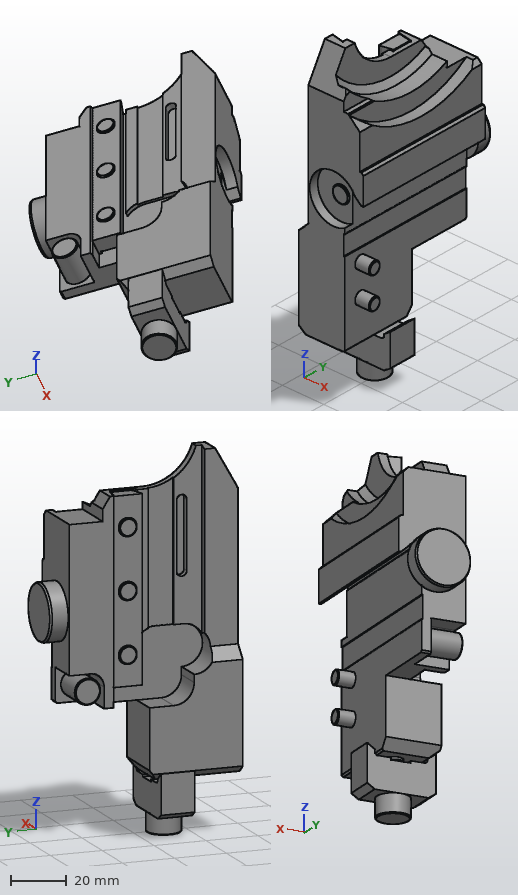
import cadquery as cq
import math

body_depth = 65.0
body_top = 142.3
plate_x = 4.7
back_x = 22.3
relief_x = 21.9
flange_x = 29.7
lip_x = 31.5
lip_bevel = 1.0
block_bottom = 22.3
block_shoulder = 64.5
block_nick = 0.7
block_corner_y, block_corner_z = 32.6, 26.6
seat_top = 25.0
seat_inset = 3.4
relief_bottom, relief_top = 62.3, 71.6
block_width = 36.0
wing_bottom = 49.8
ledge_z = 122.5
ledge_end_x = 24.0
flange_top = 117.1
lip_bottom, lip_top = 86.7, 100.6
undercut_x, undercut_z = 23.0, 93.2
undercut_relief = 1.4
undercut_crown = (22.2, 93.0)
step_y, step_z = 52.2, 119.1
step_bevel_y, step_bevel_z = 2.8, 4.4
nose_y, nose_z = 8.8, 126.8

saddle_y = 33.2
saddle_z = 159.1
horn_radius = 39.1
saddle_radius = 41.8
flange_radius = 49.7
horn_x = 14.7
cone_end_x = 17.2
shoulder_z = 128.0
notch_radius = 20.2
notch_rise = body_top - shoulder_z
notch_half_width = math.sqrt(notch_radius**2 - (notch_radius - notch_rise) ** 2)
saddle_end_x = 24.5
horn_flat_point = (20.9, 2.3, 130.8)
horn_flat_normal = (1, -0.2, 0.6)
horn_flat_edge = (0, 3, 1)
horn_flat_size = 4.3
horn_flat_clearance = 1.4

groove_y = 13.0
groove_floor_x = 10.8
groove_undercut = 1.3
relief_y_min, relief_y_max = 22.5, 32.3
relief_floor_x = 11.5
rail_floor_x = 12.5
rail_floor_y = 36.5
slot_width, slot_y = 4.0, 19.4
slot_bottom, slot_top = 94.5, 124.6
slot_depth = 2.8

rail_outer_x, rail_inner_x = 5.5, 11.7
rail_bottom, rail_top = 57.0, 127.8
rail_y_min = 36.7
wall_edge_y = 48.0
wall_bend_x, wall_bend_y = 6.0, 47.5
wall_slope = 0.17
rail_bend_x = 6.5
rail_inner_y = 38.0
screw_y, screw_z, screw_pitch = 42.3, 92.3, 23.6
screw_head, screw_shaft = 7.0, 4.0
screw_face_x = 4.8
edge_break = 0.4

pocket_radius = 8.1
pocket_y, pocket_z = 18.8, 68.7
pocket_far_y = 29.6
pocket_neck_y = 18.8
neck_radius = 7.8

shaft_x, shaft_z = 17.0, 84.4
knob_diameter, knob_length = 22.0, 7.0
knob_bevel = 0.9
shaft_diameter = 8.0
front_pocket_diameter, front_pocket_depth = 23.0, 4.3
shaft_end_y = 3.5

corner_y, corner_z = 51.7, 63.2
corner_radius = 5.3
corner_floor_x = 18.5
corner_screw_y, corner_screw_z = 57.9, 56.6
corner_screw_diameter = 10.0
corner_screw_face_x = 4.7

pin_diameter = 6.0
pin_end_x = 29.3
pin_y = 8.5
pin_heights = (41.5, 56.5)

jaw_y, jaw_width = 25.0, 13.0
jaw_length = 27.6
jaw_bottom, jaw_seat = 7.7, 20.6
jaw_tip = 24.9
jaw_bevel_x, jaw_bevel_z = 3.0, 2.0
jaw_lip = 3.1
jaw_lip_drop = 2.1
jaw_root = 1.1
clamp_x = 14.1
clamp_head, clamp_shaft, clamp_collar = 13.0, 7.7, 8.0
collar_bottom, collar_top = 19.8, 21.3

over = 14.2
embed = 1.4


def box(x0, x1, y0, y1, z0, z1):
    return cq.Workplane("XY").box(x1 - x0, y1 - y0, z1 - z0, centered=False).translate((x0, y0, z0))


def cylinder_x(diameter, x0, x1, y, z):
    return cq.Workplane("YZ", origin=(x0, y, z)).circle(diameter / 2).extrude(x1 - x0)


def cylinder_y(diameter, y0, y1, x, z):
    return cq.Workplane("XZ", origin=(x, y0, z)).circle(diameter / 2).extrude(y0 - y1)


def cylinder_z(diameter, z0, z1, x, y):
    return cq.Workplane("XY", origin=(x, y, z0)).circle(diameter / 2).extrude(z1 - z0)


def body_blank():
    """Intersection of the XZ profile with the YZ outline."""
    profile = (
        cq.Workplane("XZ")
        .moveTo(seat_inset, block_bottom)
        .lineTo(back_x - block_nick, block_bottom)
        .lineTo(back_x, block_bottom + block_nick)
        .lineTo(back_x, relief_bottom)
        .lineTo(relief_x, relief_bottom)
        .lineTo(relief_x, relief_top)
        .lineTo(back_x, relief_top)
        .lineTo(back_x, undercut_z - undercut_relief)
        .lineTo(relief_x, undercut_z - undercut_relief)
        .threePointArc(undercut_crown, (undercut_x, undercut_z))
        .lineTo(lip_x - lip_bevel, lip_bottom)
        .lineTo(lip_x, lip_bottom)
        .lineTo(lip_x, lip_top - lip_bevel)
        .lineTo(lip_x - lip_bevel, lip_top)
        .lineTo(flange_x, lip_top)
        .lineTo(flange_x, flange_top)
        .lineTo(ledge_end_x, ledge_z)
        .lineTo(relief_x, ledge_z)
        .lineTo(relief_x, body_top)
        .lineTo(plate_x, body_top)
        .lineTo(plate_x, block_shoulder + plate_x)
        .lineTo(0, block_shoulder)
        .lineTo(0, seat_top)
        .close()
        .extrude(-body_depth)
    )
    outline = (
        cq.Workplane("YZ")
        .moveTo(0, block_bottom)
        .lineTo(block_corner_y, block_bottom)
        .lineTo(block_width, block_corner_z)
        .lineTo(block_width, wing_bottom)
        .lineTo(body_depth - block_nick, wing_bottom)
        .lineTo(body_depth, wing_bottom + block_nick)
        .lineTo(body_depth, step_z)
        .lineTo(step_y, step_z)
        .lineTo(step_y, shoulder_z - step_bevel_z)
        .lineTo(step_y - step_bevel_y, shoulder_z)
        .lineTo(saddle_y, shoulder_z)
        .threePointArc(
            (saddle_y - notch_radius * math.sin(math.pi / 4),
             shoulder_z + notch_radius * (1 - math.cos(math.pi / 4))),
            (saddle_y - notch_half_width, body_top),
        )
        .lineTo(nose_y, body_top)
        .lineTo(0, nose_z)
        .close()
        .extrude(lip_x)
    )
    blank = profile.intersect(outline)
    return blank.cut(box(-over, plate_x, block_width, body_depth, 0, body_top))


def saddle_cut():
    """Stepped round cut that hollows the top, narrower at the outer face."""
    return (
        cq.Workplane("XZ", origin=(0, saddle_y, saddle_z))
        .moveTo(horn_x, 0)
        .lineTo(horn_x, -horn_radius)
        .lineTo(cone_end_x, -saddle_radius)
        .lineTo(saddle_end_x, -saddle_radius)
        .lineTo(saddle_end_x, -flange_radius)
        .lineTo(lip_x + over, -flange_radius)
        .lineTo(lip_x + over, 0)
        .close()
        .revolve(360, (0, 0, 0), (1, 0, 0))
    )


def horn_corner_cut():
    """Small flat that takes off the tip of the horn where three faces meet."""
    plane = cq.Plane(origin=horn_flat_point, xDir=horn_flat_edge, normal=horn_flat_normal)
    return cq.Workplane(plane).rect(horn_flat_size, horn_flat_size).extrude(horn_flat_clearance)


def wall_y(x):
    """Y of the inclined groove wall beside the rail at a given X."""
    return wall_bend_y - wall_slope * (x - wall_bend_x)


def groove_cut():
    """Undercut groove, rail seat, shallow floor relief and floor slot on the outer face."""
    groove = (
        cq.Workplane("XY", origin=(0, 0, pocket_z))
        .polyline([
            (plate_x, groove_y),
            (groove_floor_x, groove_y - groove_undercut),
            (groove_floor_x, rail_floor_y),
            (plate_x, rail_floor_y),
        ])
        .close()
        .extrude(body_top)
    )
    rail_seat = (
        cq.Workplane("XY", origin=(0, 0, rail_bottom))
        .polyline([
            (plate_x, rail_floor_y),
            (rail_floor_x, rail_floor_y),
            (rail_floor_x, wall_y(rail_floor_x)),
            (wall_bend_x, wall_bend_y),
            (plate_x, wall_edge_y),
        ])
        .close()
        .extrude(body_top)
    )
    run_out = (
        cq.Workplane("XY")
        .polyline([
            (plate_x, rail_floor_y),
            (rail_floor_x, rail_floor_y),
            (rail_floor_x, wall_bend_y),
            (wall_bend_x, wall_bend_y),
            (plate_x, wall_edge_y),
        ])
        .close()
        .extrude(rail_bottom)
    )
    shallow = box(plate_x, relief_floor_x, relief_y_min, relief_y_max, pocket_z, body_top)
    slot = (
        cq.Workplane("YZ", origin=(groove_floor_x - embed, slot_y, (slot_bottom + slot_top) / 2))
        .slot2D(slot_top - slot_bottom, slot_width, 90)
        .extrude(slot_depth + embed)
    )
    return groove.union(rail_seat).union(run_out).union(shallow).union(slot)


def clearance_pocket():
    """Rounded pocket through the outer side of the lower block."""
    upper = (
        cq.Workplane("YZ")
        .center((pocket_y + pocket_far_y) / 2, pocket_z)
        .slot2D(pocket_far_y - pocket_y + 2 * pocket_radius, 2 * pocket_radius)
        .extrude(rail_floor_x)
    )
    lower = (
        box(0, rail_floor_x, pocket_neck_y, rail_floor_y, wing_bottom, pocket_z)
        .edges("|X and <Y and <Z")
        .fillet(neck_radius)
    )
    return upper.union(lower)


def corner_pocket():
    return (
        box(0, corner_floor_x, corner_y, body_depth + over, wing_bottom - over, corner_z)
        .edges("|X and <Y and >Z")
        .fillet(corner_radius)
    )


def cross_shaft():
    knob = cylinder_y(knob_diameter, body_depth, body_depth + knob_length, shaft_x, shaft_z)
    knob = knob.faces(">Y").chamfer(knob_bevel, edge_break)
    shaft = cylinder_y(shaft_diameter, shaft_end_y, body_depth, shaft_x, shaft_z)
    return knob.union(shaft.faces("<Y").chamfer(edge_break))


def rail():
    bar = (
        cq.Workplane("XY", origin=(0, 0, rail_bottom))
        .polyline([
            (rail_outer_x, rail_y_min),
            (rail_bend_x, rail_y_min),
            (rail_inner_x, rail_inner_y),
            (rail_inner_x, wall_y(rail_inner_x)),
            (wall_bend_x, wall_bend_y),
            (rail_outer_x, wall_bend_y),
        ])
        .close()
        .extrude(rail_top - rail_bottom)
    )
    for step in (-1, 0, 1):
        z = screw_z + step * screw_pitch
        head = cylinder_x(screw_head, screw_face_x, rail_inner_x, screw_y, z)
        bar = bar.union(head.faces("<X").chamfer(edge_break))
        bar = bar.union(cylinder_x(screw_shaft, rail_inner_x - embed, rail_floor_x + embed, screw_y, z))
    return bar


def corner_screw():
    screw = cylinder_x(
        corner_screw_diameter, corner_screw_face_x, corner_floor_x + embed, corner_screw_y, corner_screw_z
    )
    return screw.faces("<X").chamfer(edge_break)


def rear_pins():
    pins = cq.Workplane("XY")
    for z in pin_heights:
        pin = cylinder_x(pin_diameter, relief_x - embed, pin_end_x, pin_y, z)
        pins = pins.add(pin.faces(">X").chamfer(edge_break))
    return pins.combine()


def clamp():
    free_root_x = jaw_length - jaw_lip
    root_z = jaw_seat + jaw_root / 2
    jaw = (
        cq.Workplane("XZ", origin=(0, jaw_y - jaw_width / 2, 0))
        .moveTo(jaw_bevel_x, jaw_bottom)
        .lineTo(jaw_length - jaw_bevel_x, jaw_bottom)
        .lineTo(jaw_length, jaw_bottom + jaw_bevel_z)
        .lineTo(jaw_length, jaw_tip)
        .lineTo(free_root_x, jaw_tip - jaw_lip_drop)
        .threePointArc((free_root_x - jaw_root / 4, root_z), (free_root_x - jaw_root, jaw_seat))
        .lineTo(seat_inset + jaw_root, jaw_seat)
        .threePointArc((seat_inset + jaw_root / 4, root_z), (seat_inset, block_bottom))
        .lineTo(0, jaw_tip)
        .lineTo(0, jaw_bottom + jaw_bevel_z)
        .close()
        .extrude(-jaw_width)
    )
    head = cylinder_z(clamp_head, 0, jaw_bottom, clamp_x, jaw_y).faces("<Z").chamfer(edge_break)
    notch = box(
        clamp_x - clamp_collar / 2,
        clamp_x + clamp_collar / 2,
        jaw_y - jaw_width / 2,
        jaw_y + jaw_width / 2,
        collar_bottom,
        collar_top,
    )
    collar = cylinder_z(clamp_collar, collar_bottom, collar_top, clamp_x, jaw_y)
    shaft = cylinder_z(clamp_shaft, collar_bottom, block_bottom, clamp_x, jaw_y)
    return jaw.cut(notch).union(head).union(collar).union(shaft)


body = body_blank().cut(saddle_cut()).cut(horn_corner_cut()).cut(groove_cut())
body = body.cut(clearance_pocket()).cut(corner_pocket())
body = body.cut(cylinder_y(front_pocket_diameter, -over, front_pocket_depth, shaft_x, shaft_z))
result = body.union(cross_shaft()).union(rail()).union(corner_screw()).union(rear_pins()).union(clamp())